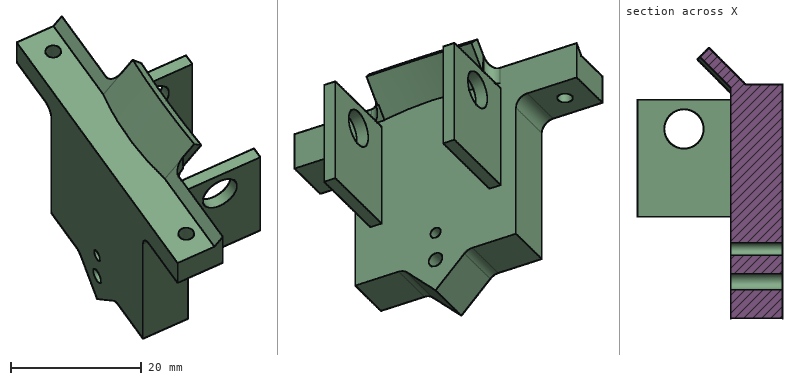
import cadquery as cq
import math

thickness = 8.0

bar_length = 50.0
bar_bottom = 31.1
bar_top = 36.0
ridge_height = 1.5
bar_hole_x = 20.65
bar_hole_y = 4.0
bar_hole_diameter = 2.4

body_width = 28.5
body_bottom = 5.7
point_half_width = body_bottom
body_fillet = 2.0
lower_hole_diameter = 2.4
upper_hole_diameter = 1.8
upper_hole_z = 10.7

overall_height = 41.65
tab_half_width = 9.55
tab_bulge = 0.6
tab_thickness = 2.0
tab_length = 10.0
tab_fillet = 1.8

overall_depth = 22.3
lug_length = overall_depth - thickness
lug_thickness = 2.0
lug_bottom = 15.65
lug_height = 18.0
lug_hole_z = 29.15
lug_hole_diameter = 6.0

select_margin = 0.25
web_overlap = 0.5

ridge_front = thickness - ridge_height
slope_offset = bar_top - ridge_front


def corner_band(half_width, height):
    """Select the pair of front-to-rear edges at one height, up to half_width from the centre."""
    return cq.selectors.BoxSelector(
        (-half_width - select_margin, 0, height - select_margin),
        (half_width + select_margin, thickness, height + select_margin),
    )


def make_crossbar():
    """Bar of constant section along X, with vertical holes near its ends."""
    bar = (
        cq.Workplane("YZ")
        .moveTo(0, bar_bottom)
        .lineTo(thickness, bar_bottom)
        .lineTo(thickness, bar_top + ridge_height)
        .lineTo(ridge_front, bar_top)
        .lineTo(0, bar_top)
        .close()
        .extrude(bar_length / 2, both=True)
    )
    holes = (
        cq.Workplane("XY")
        .pushPoints([(-bar_hole_x, bar_hole_y), (bar_hole_x, bar_hole_y)])
        .circle(bar_hole_diameter / 2)
        .extrude(overall_height)
    )
    return bar.cut(holes)


def make_body():
    """Plate with a pointed lower end, rounded where the point meets the shoulders."""
    half = body_width / 2
    plate = (
        cq.Workplane("XZ")
        .moveTo(0, 0)
        .lineTo(point_half_width, body_bottom)
        .lineTo(half, body_bottom)
        .lineTo(half, bar_top)
        .lineTo(-half, bar_top)
        .lineTo(-half, body_bottom)
        .lineTo(-point_half_width, body_bottom)
        .close()
        .extrude(-thickness)
    )
    return plate.edges(corner_band(point_half_width, body_bottom)).fillet(body_fillet)


def make_tab():
    """Curved plate following the 45 degree slope, with radial side faces."""
    outer_radius = (tab_half_width**2 + tab_bulge**2) / (2 * tab_bulge)
    inner_radius = outer_radius - tab_thickness
    inner_half_width = tab_half_width * inner_radius / outer_radius
    inner_edge = math.sqrt(inner_radius**2 - inner_half_width**2) - outer_radius
    crown_y = overall_height - slope_offset - tab_bulge * math.sqrt(2)
    end_plane = cq.Plane(origin=(0, crown_y, overall_height), xDir=(-1, 0, 0), normal=(0, 1, 1))
    return (
        cq.Workplane(end_plane)
        .moveTo(-tab_half_width, -tab_bulge)
        .threePointArc((0, 0), (tab_half_width, -tab_bulge))
        .lineTo(inner_half_width, inner_edge)
        .threePointArc((0, -tab_thickness), (-inner_half_width, inner_edge))
        .close()
        .extrude(-tab_length)
    )


def make_tab_fillet():
    """Web rounding the corner between the bar's rear face and the +X side of the tab."""
    inside = tab_half_width - web_overlap
    outside = tab_half_width + tab_fillet
    rear = thickness + tab_fillet
    arc_offset = tab_fillet * (1 - math.sqrt(0.5))
    corner = (
        cq.Workplane("XY")
        .moveTo(outside, thickness)
        .threePointArc((tab_half_width + arc_offset, thickness + arc_offset), (tab_half_width, rear))
        .lineTo(inside, rear)
        .lineTo(inside, ridge_front)
        .lineTo(outside, ridge_front)
        .close()
        .extrude(overall_height)
    )
    drop = tab_thickness * math.sqrt(2)
    front_z = ridge_front + slope_offset
    rear_z = rear + slope_offset
    sloped_slab = (
        cq.Workplane("YZ")
        .moveTo(ridge_front, front_z)
        .lineTo(rear, rear_z)
        .lineTo(rear, rear_z - drop)
        .lineTo(ridge_front, front_z - drop)
        .close()
        .extrude(outside)
    )
    return corner.intersect(sloped_slab)


def make_lug():
    """Rear lug on the +X side, with a pivot hole midway along it."""
    lug = cq.Workplane("XY").box(lug_thickness, lug_length, lug_height, centered=False)
    lug = lug.translate((tab_half_width, thickness, lug_bottom))
    hole = (
        cq.Workplane("YZ")
        .center(thickness + lug_length / 2, lug_hole_z)
        .circle(lug_hole_diameter / 2)
        .extrude(bar_length / 2)
    )
    return lug.cut(hole)


result = make_crossbar().union(make_body()).clean()
result = result.edges(corner_band(body_width / 2, bar_bottom)).fillet(body_fillet)

result = result.union(make_tab())
for side_feature in (make_tab_fillet(), make_lug()):
    result = result.union(side_feature).union(side_feature.mirror("YZ"))

for hole_z, diameter in ((body_bottom, lower_hole_diameter), (upper_hole_z, upper_hole_diameter)):
    hole = cq.Workplane("XZ").center(0, hole_z).circle(diameter / 2).extrude(-thickness)
    result = result.cut(hole)